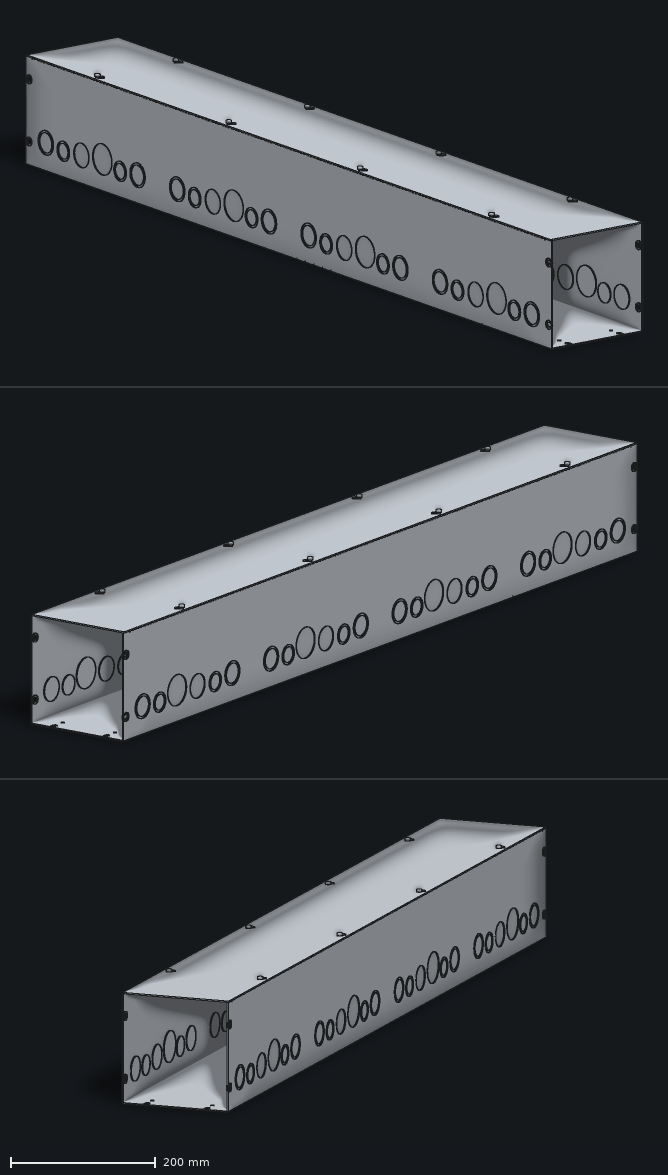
import cadquery as cq
import math

LENGTH = 1219.2
WIDTH = 157.15
TOTAL_HEIGHT = 160.59
SCREW_HEAD_HEIGHT = 3.44
COVER_TOP = TOTAL_HEIGHT - SCREW_HEAD_HEIGHT

SHEET = 1.9
KNOCKOUT_DEPTH = SHEET / 2
BEND_RADIUS = 2.3
FLANGE_WIDTH = 16.0
FLANGE_END_GAP = 15.0
WALL_TOP = COVER_TOP - SHEET
INNER_HALF_WIDTH = WIDTH / 2 - SHEET

COVER_END_GAP = 1.6

SECTION_COUNT = 4
SECTION_PITCH = LENGTH / SECTION_COUNT
SCREW_HEAD_DIAMETER = 7.94
SCREW_HEAD_ROUNDING = 1.2
SCREW_SHANK_DIAMETER = 6.35
SCREW_DEPTH = 7.94
SCREW_EDGE_DISTANCE = 11.11
KEYHOLE_DIAMETER = 12.7
KEYHOLE_SLOT_WIDTH = 7.0
KEYHOLE_TRAVEL = 6.35
SCREW_OFFSET = 1.2

JOINT_KNOCKOUT_DIAMETER = 12.7
JOINT_SLOT_LENGTH = 11.1
JOINT_SLOT_WIDTH = 6.35
JOINT_INSET = 6.9
JOINT_SPACING = 88.9
FLOOR_HOLE_DIAMETER = 4.59
FLOOR_HOLE_INSET = 27.5

KNOCKOUT_BOTTOM = 23.2
KNOCKOUTS = [
    (46.0, 34.92, 28.57),
    (86.5, 28.57, 22.23),
    (128.5, 34.92, None),
    (177.0, 44.45, None),
    (218.3, 28.57, 22.23),
    (258.8, 34.92, 28.57),
]

SCREW_POINTS = [
    (SECTION_PITCH * (section + 0.5) - SCREW_OFFSET, side * (WIDTH / 2 - SCREW_EDGE_DISTANCE))
    for section in range(SECTION_COUNT)
    for side in (-1, 1)
]


def block(x_start, x_end, y_start, y_end, z_start, z_end):
    size = (x_end - x_start, y_end - y_start, z_end - z_start)
    return cq.Workplane("XY").box(*size, centered=False).translate((x_start, y_start, z_start))


def make_channel():
    """U-shaped sheet: floor and two walls, bent along the lower edges."""
    outside = block(0, LENGTH, -WIDTH / 2, WIDTH / 2, 0, WALL_TOP)
    outside = outside.edges("|X and <Z").fillet(BEND_RADIUS)
    inside = block(0, LENGTH, -INNER_HALF_WIDTH, INNER_HALF_WIDTH, SHEET, WALL_TOP)
    inside = inside.edges("|X and <Z").fillet(BEND_RADIUS - SHEET)
    return outside.cut(inside)


def make_flange(side):
    """Inward flange on top of one wall, stopping short of both ends."""
    root = side * INNER_HALF_WIDTH
    tip = side * (WIDTH / 2 - FLANGE_WIDTH)
    return block(
        FLANGE_END_GAP,
        LENGTH - FLANGE_END_GAP,
        min(root, tip),
        max(root, tip),
        WALL_TOP - SHEET,
        WALL_TOP,
    )


def bend_cutter(side):
    """Sharp corner to remove where a flange bends over the wall top."""
    edge = side * WIDTH / 2
    arc_middle = BEND_RADIUS * (1 - math.sqrt(0.5))
    return (
        cq.Workplane("YZ", origin=(FLANGE_END_GAP, 0, 0))
        .moveTo(edge, WALL_TOP)
        .lineTo(edge, WALL_TOP - BEND_RADIUS)
        .threePointArc((edge - side * arc_middle, WALL_TOP - arc_middle), (edge - side * BEND_RADIUS, WALL_TOP))
        .close()
        .extrude(LENGTH - 2 * FLANGE_END_GAP)
    )


def wall_plane(side, x, z):
    """Workplane on a wall's outer face; extruding goes into the trough."""
    normal = (0, -side, 0)
    return cq.Workplane(cq.Plane(origin=(x, side * WIDTH / 2, z), xDir=(1, 0, 0), normal=normal))


def floor_plane(x, y):
    """Workplane on the floor's outer face; extruding goes into the trough."""
    return cq.Workplane("XY", origin=(x, y, 0))


def press_knockout(box, plane, outer, inner=None):
    """Disc pushed inward by half the sheet; with an inner diameter its centre stays flush outside."""
    boss = plane.workplane(offset=SHEET).circle(outer / 2).extrude(KNOCKOUT_DEPTH)
    recess = plane.circle(outer / 2)
    if inner is not None:
        recess = recess.circle(inner / 2)
    return box.union(boss).cut(recess.extrude(KNOCKOUT_DEPTH))


def joint_slot(plane):
    """Cutter for a lengthwise slot, deep enough for a pressed knockout too."""
    return plane.slot2D(JOINT_SLOT_LENGTH, JOINT_SLOT_WIDTH).extrude(2 * SHEET)


def add_wall_knockouts(box, side):
    for section in range(SECTION_COUNT):
        for x, outer, inner in KNOCKOUTS:
            plane = wall_plane(side, section * SECTION_PITCH + x, KNOCKOUT_BOTTOM + outer / 2)
            box = press_knockout(box, plane, outer, inner)
    return box


def add_end_joints(box):
    for offset in (-JOINT_SPACING / 2, JOINT_SPACING / 2):
        for x in (JOINT_INSET, LENGTH - JOINT_INSET):
            box = box.cut(joint_slot(floor_plane(x, offset)))
            for side in (-1, 1):
                plane = wall_plane(side, x, COVER_TOP / 2 + offset)
                box = press_knockout(box, plane, JOINT_KNOCKOUT_DIAMETER).cut(joint_slot(plane))
        for x in (FLOOR_HOLE_INSET, LENGTH - FLOOR_HOLE_INSET):
            box = box.cut(floor_plane(x, offset).circle(FLOOR_HOLE_DIAMETER / 2).extrude(SHEET))
    return box


def make_box():
    box = make_channel()
    for side in (-1, 1):
        box = box.union(make_flange(side)).cut(bend_cutter(side))
        box = add_wall_knockouts(box, side)
    box = add_end_joints(box)
    screw_holes = (
        cq.Workplane("XY", origin=(0, 0, WALL_TOP - SHEET))
        .pushPoints(SCREW_POINTS)
        .circle(SCREW_SHANK_DIAMETER / 2)
        .extrude(SHEET)
    )
    return box.cut(screw_holes)


def make_cover():
    cover = block(COVER_END_GAP, LENGTH - COVER_END_GAP, -WIDTH / 2, WIDTH / 2, WALL_TOP, COVER_TOP)
    for x, y in SCREW_POINTS:
        plane = cq.Workplane("XY", origin=(x, y, WALL_TOP))
        entry = plane.center(KEYHOLE_TRAVEL, 0).circle(KEYHOLE_DIAMETER / 2).extrude(SHEET)
        slot = (
            plane.center(KEYHOLE_TRAVEL / 2, 0)
            .slot2D(KEYHOLE_TRAVEL + KEYHOLE_SLOT_WIDTH, KEYHOLE_SLOT_WIDTH)
            .extrude(SHEET)
        )
        cover = cover.cut(entry).cut(slot)
    return cover


def make_screw(x, y):
    plane = cq.Workplane("XY", origin=(x, y, COVER_TOP))
    head = plane.circle(SCREW_HEAD_DIAMETER / 2).extrude(SCREW_HEAD_HEIGHT)
    head = head.faces(">Z").edges().fillet(SCREW_HEAD_ROUNDING)
    shank = plane.circle(SCREW_SHANK_DIAMETER / 2).extrude(-SCREW_DEPTH)
    return head.union(shank)


box = make_box()
cover = make_cover()
screws = [make_screw(x, y) for x, y in SCREW_POINTS]
result = cq.Compound.makeCompound([box.val(), cover.val(), *[screw.val() for screw in screws]])